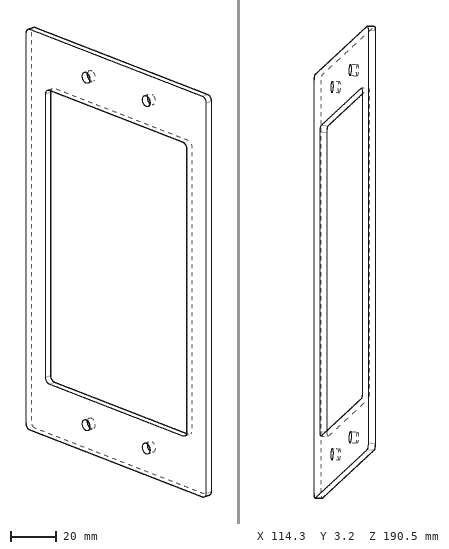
import cadquery as cq

width = 114.3
height = 190.5
thickness = 3.2
corner_radius = 2.5

window_width = 89.5
window_height = 139.6
window_radius = 2.5

hole_diameter = 5.0
hole_spacing_x = 38.1
hole_spacing_z = 165.2


def rounded_plate(size_x, size_z, radius):
    """Upright plate centred on the origin, with rounded corners."""
    return cq.Workplane("XY").box(size_x, thickness, size_z).edges("|Y").fillet(radius)


plate = rounded_plate(width, height, corner_radius)
window = rounded_plate(window_width, window_height, window_radius)
frame = plate.cut(window)

result = (
    frame.faces("<Y")
    .workplane(origin=(0, 0, 0))
    .rect(hole_spacing_x, hole_spacing_z, forConstruction=True)
    .vertices()
    .hole(hole_diameter)
)